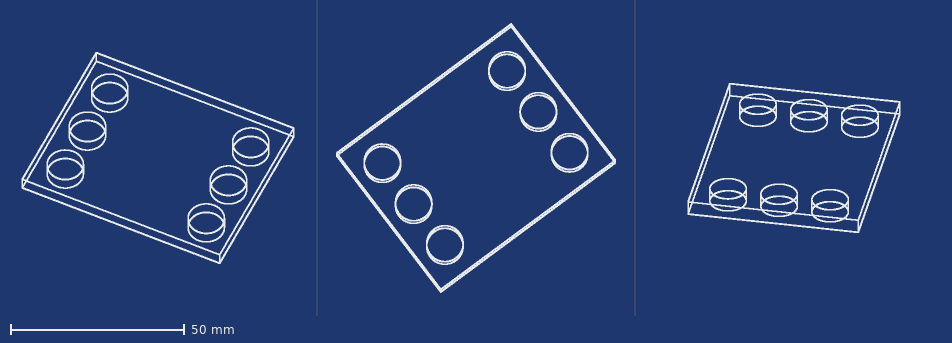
import cadquery as cq

length = 63.0
width = 50.0
thickness = 4.2

hole_diameter = 10.5
column_spacing = 45.0
row_pitch = 15.0
columns = 2
rows = 3

plate = cq.Workplane("XY").box(length, width, thickness)

result = (
    plate.faces(">Z")
    .workplane()
    .rarray(column_spacing, row_pitch, columns, rows)
    .hole(hole_diameter)
)